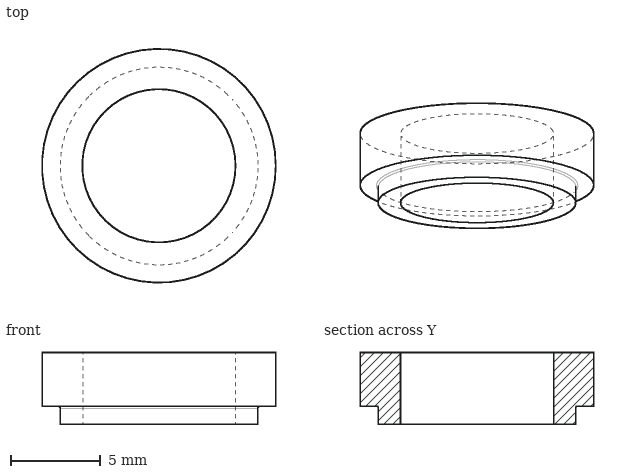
import cadquery as cq

flange_diameter = 13.0
bore_diameter = 8.5
total_height = 4.0

spigot_diameter = 11.0
spigot_height = 1.0
corner_fillet = 0.1


def make_stepped_body():
    """Spigot standing on Z = 0 with the wider flange on top of it."""
    spigot = cq.Workplane("XY").circle(spigot_diameter / 2).extrude(spigot_height)
    flange = (
        cq.Workplane("XY", origin=(0, 0, spigot_height))
        .circle(flange_diameter / 2)
        .extrude(total_height - spigot_height)
    )
    return spigot.union(flange)


def fillet_inside_corner(body):
    """Round the corner between the spigot wall and the underside of the flange."""
    shoulder_circles = body.faces("<Z[1]").edges("%CIRCLE")
    return shoulder_circles.edges(cq.selectors.RadiusNthSelector(0)).fillet(corner_fillet)


def cut_bore(body):
    """Cut the central bore through the full height."""
    bore = cq.Workplane("XY").circle(bore_diameter / 2).extrude(total_height)
    return body.cut(bore)


stepped_body = make_stepped_body()
filleted_body = fillet_inside_corner(stepped_body)
result = cut_bore(filleted_body)